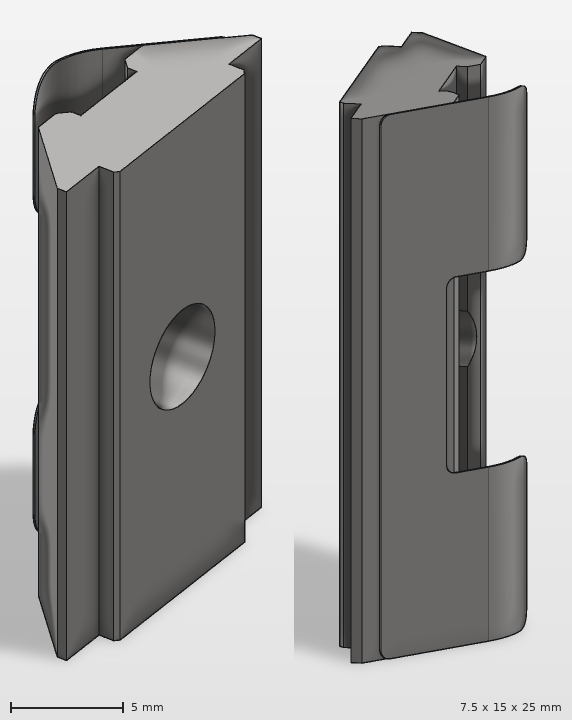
import cadquery as cq
import math

NUT_LENGTH = 25.0
NUT_DEPTH = 5.0
NUT_HALF_WIDTH = 7.5
FLANGE_BACK = 4.0
FLANGE_EDGE = 0.5
SLOPE_START = FLANGE_BACK - FLANGE_EDGE
FACE_HALF_WIDTH = NUT_HALF_WIDTH - SLOPE_START
RIB_HALF_WIDTH = 5.0
RIB_CHAMFER = 0.2
GROOVE_DEPTH = 1.0
GROOVE_HALF_WIDTH = 2.15
GROOVE_CHAMFER = 0.5
HOLE_DIAMETER = 5.0

SHEET = 0.1
SLOPE_ANGLE = math.radians(45)
SPRING_FRONT = -2.5
SPRING_ROOT_Y = 6.9
SPRING_TIP_Y = -1.1
NOTCH_LENGTH = 9.0
NOTCH_ROOT_Y = 4.4
CORNER_RADIUS = 0.5
EDGE_TOLERANCE = 0.01
TIP_RADIUS = 2.0

SHEET_SHIFT = SHEET / math.cos(SLOPE_ANGLE)
CURL_OUTER = (SPRING_FRONT + FACE_HALF_WIDTH + SHEET_SHIFT) / (1 / math.cos(SLOPE_ANGLE) - 1)
CURL_INNER = CURL_OUTER - SHEET
CURL_CENTRE_X = SPRING_FRONT + CURL_OUTER


def outer_face_x(y):
    """X of the straight outer sheet face at a given Y."""
    return y - FACE_HALF_WIDTH - SHEET_SHIFT


def curl_point(radius, angle):
    """Point on the curl; the angle is measured from -X towards +Y."""
    return (CURL_CENTRE_X - radius * math.cos(angle), radius * math.sin(angle))


def make_nut():
    """Grooved nut with its rear rib and cross hole."""
    half_profile = [
        (GROOVE_DEPTH, 0),
        (GROOVE_DEPTH, GROOVE_HALF_WIDTH),
        (GROOVE_CHAMFER, GROOVE_HALF_WIDTH),
        (0, GROOVE_HALF_WIDTH + GROOVE_CHAMFER),
        (0, FACE_HALF_WIDTH),
        (SLOPE_START, NUT_HALF_WIDTH),
        (FLANGE_BACK, NUT_HALF_WIDTH),
        (FLANGE_BACK, RIB_HALF_WIDTH),
        (NUT_DEPTH - RIB_CHAMFER, RIB_HALF_WIDTH),
        (NUT_DEPTH, RIB_HALF_WIDTH - RIB_CHAMFER),
        (NUT_DEPTH, 0),
    ]
    body = (
        cq.Workplane("XY")
        .polyline(half_profile)
        .mirrorX()
        .extrude(NUT_LENGTH / 2, both=True)
    )
    hole = cq.Workplane("YZ").circle(HOLE_DIAMETER / 2).extrude(NUT_DEPTH)
    return body.cut(hole)


def make_spring_sheet():
    """Full-length bent sheet, before its notch and rounded corners."""
    tip_angle = math.asin(SPRING_TIP_Y / CURL_OUTER)
    middle_angle = (SLOPE_ANGLE + tip_angle) / 2
    root_outer = (outer_face_x(SPRING_ROOT_Y), SPRING_ROOT_Y)
    sheet_step = SHEET * math.cos(SLOPE_ANGLE)
    root_inner = (root_outer[0] + sheet_step, root_outer[1] - sheet_step)
    return (
        cq.Workplane("XY")
        .moveTo(*root_outer)
        .lineTo(*curl_point(CURL_OUTER, SLOPE_ANGLE))
        .threePointArc(curl_point(CURL_OUTER, middle_angle), curl_point(CURL_OUTER, tip_angle))
        .lineTo(*curl_point(CURL_INNER, tip_angle))
        .threePointArc(curl_point(CURL_INNER, middle_angle), curl_point(CURL_INNER, SLOPE_ANGLE))
        .lineTo(*root_inner)
        .close()
        .extrude(NUT_LENGTH / 2, both=True)
    )


def make_notch():
    """Cutter for the middle opening, square to the straight part of the sheet."""
    reach = NUT_LENGTH
    sheet_plane = cq.Plane(
        origin=(outer_face_x(NOTCH_ROOT_Y), NOTCH_ROOT_Y, 0),
        xDir=(-1, -1, 0),
        normal=(-1, 1, 0),
    )
    return (
        cq.Workplane(sheet_plane)
        .center(reach / 2, 0)
        .rect(reach, NOTCH_LENGTH)
        .extrude(reach, both=True)
    )


def round_leaf_tips(sheet):
    """Round both tip corners of each leaf, square to the YZ plane."""
    leaf_sides = [(NOTCH_LENGTH / 2, 1), (NUT_LENGTH / 2, -1)]
    for half in (1, -1):
        for side_z, inward in leaf_sides:
            corner = (SPRING_TIP_Y, half * side_z)
            centre = (SPRING_TIP_Y + TIP_RADIUS, half * (side_z + inward * TIP_RADIUS))
            square = cq.Workplane("YZ").center(*corner).rect(2 * TIP_RADIUS, 2 * TIP_RADIUS)
            disc = cq.Workplane("YZ").center(*centre).circle(TIP_RADIUS)
            waste = square.extrude(NUT_DEPTH, both=True).cut(disc.extrude(NUT_DEPTH, both=True))
            sheet = sheet.cut(waste)
    return sheet


def is_root_corner(edge):
    """True for the short edges through the sheet at its root and at the notch root."""
    across_sheet = math.isclose(edge.Length(), SHEET, rel_tol=EDGE_TOLERANCE)
    return across_sheet and edge.Center().y > NOTCH_ROOT_Y - SHEET


def make_spring():
    """Bent sheet with two leaves and rounded corners."""
    sheet = make_spring_sheet().cut(make_notch())
    sheet = sheet.edges().filter(is_root_corner).fillet(CORNER_RADIUS)
    return round_leaf_tips(sheet)


nut = make_nut()
spring = make_spring()
result = cq.Compound.makeCompound([nut.val(), spring.val()])